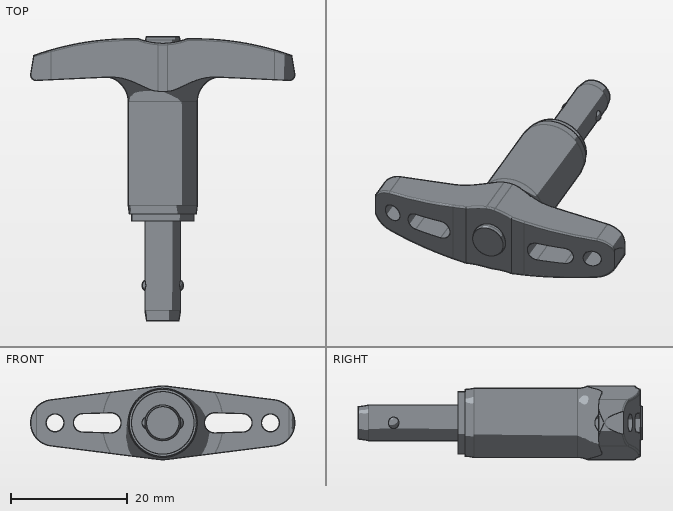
import cadquery as cq
import math


pin_radius = 3.05
tip_radius = 2.75
tip_taper_length = 1.8
ball_radius = 1.05
ball_reach = 3.55
ball_y = 6.08
collar_radius = 5.35
collar_start_y = 17.05
collar_end_y = 18.25
sleeve_radius = 5.95
sleeve_nose_radius = 5.75
sleeve_taper_length = 1.5
sleeve_end_y = 37.5

middle_radius = 6.3
end_radius = 4.0
handle_half_length = 22.6
end_centre_x = handle_half_length - end_radius

crown_y = 48.25
crown_flat_x = 6.55
crown_mid_x = 14.6
crown_mid_y = 47.45
shoulder_x = 22.05
shoulder_y = 45.4
end_widest_y = 42.2
dish_half_width = 4.2
dish_depth = 0.8
end_round = 0.95
crown_edge_round = 0.3

flare_radius = 4.2
underside_slope = math.radians(2.9)
underside_blank_radius = 29.15

hole_radius = 1.5
hole_x = 18.4
slot_outer_radius = 1.55
slot_outer_x = 13.7
slot_inner_radius = 1.7
slot_inner_x = 8.85

button_radius = 2.95
button_top_radius = 2.8
button_top_y = 48.6
button_rim_y = 48.05


def mirrored_pair(solid):
    return solid.union(solid.mirror("YZ"))


def along_y(outline):
    """Extrude an XZ outline from Y = 0 to the button top."""
    return outline.extrude(-button_top_y)


def turned(section):
    """Revolve an open half section, which starts and ends on the Y axis, about that axis."""
    return section.close().revolve(360, (0, 0), (0, 1))


def tangent_outline(centre_a, radius_a, centre_b, radius_b):
    """Closed XZ outline around two circles on the X axis, joined by tangent lines (a inside b)."""
    sine = (radius_a - radius_b) / (centre_b - centre_a)
    cosine = math.sqrt(1 - sine**2)
    a_x, a_z = centre_a + radius_a * sine, radius_a * cosine
    b_x, b_z = centre_b + radius_b * sine, radius_b * cosine
    return (
        cq.Workplane("XZ")
        .moveTo(a_x, a_z)
        .lineTo(b_x, b_z)
        .threePointArc((centre_b + radius_b, 0), (b_x, -b_z))
        .lineTo(a_x, -a_z)
        .threePointArc((centre_a - radius_a, 0), (a_x, a_z))
        .close()
    )


def handle_plan():
    return mirrored_pair(along_y(tangent_outline(0, middle_radius, end_centre_x, end_radius)))


def side_profile():
    """Crown, thumb dish and leaning end faces, extruded straight through the handle."""
    end_lean = (handle_half_length - shoulder_x) / (shoulder_y - end_widest_y)
    foot_x = shoulder_x + end_lean * (shoulder_y - sleeve_end_y)
    return (
        cq.Workplane("XY")
        .moveTo(-dish_half_width, crown_y)
        .threePointArc((0, crown_y - dish_depth), (dish_half_width, crown_y))
        .lineTo(crown_flat_x, crown_y)
        .threePointArc((crown_mid_x, crown_mid_y), (shoulder_x, shoulder_y))
        .lineTo(foot_x, sleeve_end_y)
        .lineTo(-foot_x, sleeve_end_y)
        .lineTo(-shoulder_x, shoulder_y)
        .threePointArc((-crown_mid_x, crown_mid_y), (-crown_flat_x, crown_y))
        .close()
        .extrude(middle_radius, both=True)
    )


def underside():
    """Round blank whose lower face is the flare running tangentially into the shallow cone."""

    def flare_point(angle):
        return (
            sleeve_radius + flare_radius * (1 - math.cos(angle)),
            sleeve_end_y + flare_radius * math.sin(angle),
        )

    flare_sweep = math.pi / 2 + underside_slope
    flare_end_x, flare_end_y = flare_point(flare_sweep)
    rim_y = flare_end_y - (underside_blank_radius - flare_end_x) * math.tan(underside_slope)
    return turned(
        cq.Workplane("XY")
        .moveTo(0, sleeve_end_y)
        .lineTo(sleeve_radius, sleeve_end_y)
        .threePointArc(flare_point(flare_sweep / 2), (flare_end_x, flare_end_y))
        .lineTo(underside_blank_radius, rim_y)
        .lineTo(underside_blank_radius, button_top_y)
        .lineTo(0, button_top_y)
    )


def grip_openings():
    hole = along_y(cq.Workplane("XZ").center(hole_x, 0).circle(hole_radius))
    slot = along_y(tangent_outline(slot_inner_x, slot_inner_radius, slot_outer_x, slot_outer_radius))
    return mirrored_pair(hole.union(slot))


def handle():
    blank = side_profile().intersect(underside())
    blank = blank.edges("<X or >X").fillet(end_round)
    blank = blank.intersect(handle_plan())
    above_shoulders = cq.selectors.BoxSelector(
        (-shoulder_x, shoulder_y + crown_edge_round, -middle_radius),
        (shoulder_x, button_top_y, middle_radius),
    )
    blank = blank.edges(above_shoulders).edges("not |Z").fillet(crown_edge_round)
    return blank.cut(grip_openings())


def pin_and_sleeve():
    return turned(
        cq.Workplane("XY")
        .moveTo(0, 0)
        .lineTo(tip_radius, 0)
        .lineTo(pin_radius, tip_taper_length)
        .lineTo(pin_radius, collar_start_y)
        .lineTo(collar_radius, collar_start_y)
        .lineTo(collar_radius, collar_end_y)
        .lineTo(sleeve_nose_radius, collar_end_y)
        .lineTo(sleeve_radius, collar_end_y + sleeve_taper_length)
        .lineTo(sleeve_radius, sleeve_end_y)
        .lineTo(0, sleeve_end_y)
    )


def button():
    """Release button with a tapered rim, standing in the thumb dish."""
    return turned(
        cq.Workplane("XY")
        .moveTo(0, sleeve_end_y)
        .lineTo(button_radius, sleeve_end_y)
        .lineTo(button_radius, button_rim_y)
        .lineTo(button_top_radius, button_top_y)
        .lineTo(0, button_top_y)
    )


def locking_balls():
    ball = cq.Workplane("XY").sphere(ball_radius)
    return mirrored_pair(ball.translate((ball_reach - ball_radius, ball_y, 0)))


result = handle().union(pin_and_sleeve()).union(button()).union(locking_balls())